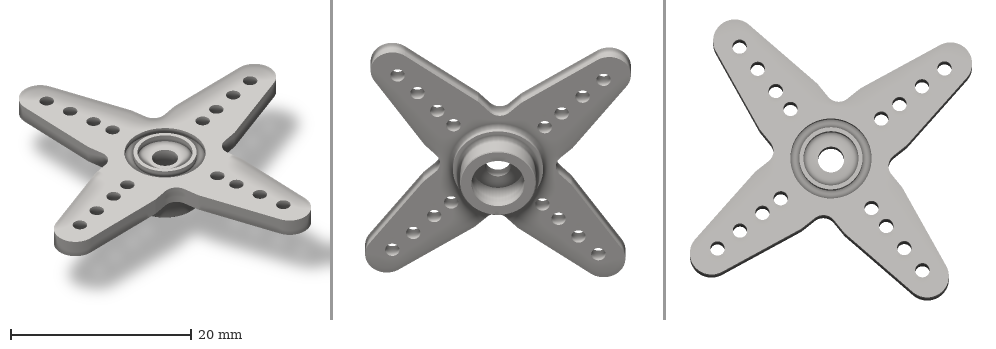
import cadquery as cq
import math

plate_thickness = 2.0
arm_count = 4
arm_half_width = 4.1
shoulder_distance = 7.5
inner_corner_radius = 1.5
tip_radius = 2.4
tip_centre_distance = 17.0

horn_hole_diameter = 1.6
horn_hole_distances = [7.15, 9.75, 12.95, 16.15]

flange_diameter = 10.0
flange_height = 1.0
flange_root_radius = 0.4
barrel_diameter = 8.4
barrel_root_radius = 0.3
hub_height = 3.9
barrel_end_chamfer = 0.1

groove_diameter = 9.0
ring_outer_diameter = 7.0
ring_inner_diameter = 6.1
ring_rise = 0.1
recess_depth = 0.7

screw_hole_diameter = 2.9
screw_web_thickness = 1.4
socket_diameter = 5.9

recess_floor_z = plate_thickness - recess_depth
ring_top_z = plate_thickness + ring_rise


def cylinder(diameter, bottom_z, top_z):
    """Cylinder on the Z axis between two heights."""
    return cq.Workplane("XY").workplane(offset=bottom_z).circle(diameter / 2).extrude(top_z - bottom_z)


def make_arm():
    """One arm along +X: straight root, tapered flanks tangent to a round tip."""
    run = tip_centre_distance - shoulder_distance
    centre_span = math.hypot(run, arm_half_width)
    taper = math.atan2(arm_half_width, run) - math.asin(tip_radius / centre_span)
    tangent_x = tip_centre_distance + tip_radius * math.sin(taper)
    tangent_y = tip_radius * math.cos(taper)
    return (
        cq.Workplane("XY")
        .moveTo(0, -arm_half_width)
        .lineTo(shoulder_distance, -arm_half_width)
        .lineTo(tangent_x, -tangent_y)
        .threePointArc((tip_centre_distance + tip_radius, 0), (tangent_x, tangent_y))
        .lineTo(shoulder_distance, arm_half_width)
        .lineTo(0, arm_half_width)
        .close()
        .extrude(plate_thickness)
    )


def make_plate():
    """Cross of equal arms with rounded inner corners."""
    arm = make_arm()
    plate = cq.Workplane("XY").rect(2 * arm_half_width, 2 * arm_half_width).extrude(plate_thickness)
    for index in range(arm_count):
        plate = plate.union(arm.rotate((0, 0, 0), (0, 0, 1), index * 360 / arm_count))
    reach = arm_half_width + inner_corner_radius
    near_axis = cq.selectors.BoxSelector((-reach, -reach, 0), (reach, reach, plate_thickness))
    return plate.clean().edges("|Z").edges(near_axis).fillet(inner_corner_radius)


def make_hub():
    """Stepped round hub with a concave fillet at the root of each step."""
    flange_radius = flange_diameter / 2
    barrel_radius = barrel_diameter / 2

    def root(profile, radius, step_z, fillet):
        """Quarter arc from the step face down onto the wall of the given radius."""
        middle = fillet * (1 - math.sqrt(0.5))
        return profile.threePointArc((radius + middle, step_z - middle), (radius, step_z - fillet))

    profile = cq.Workplane("XZ").lineTo(flange_radius + flange_root_radius, 0)
    profile = root(profile, flange_radius, 0, flange_root_radius)
    profile = profile.lineTo(flange_radius, -flange_height)
    profile = profile.lineTo(barrel_radius + barrel_root_radius, -flange_height)
    profile = root(profile, barrel_radius, -flange_height, barrel_root_radius)
    profile = (
        profile.lineTo(barrel_radius, -hub_height + barrel_end_chamfer)
        .lineTo(barrel_radius - barrel_end_chamfer, -hub_height)
        .lineTo(0, -hub_height)
        .close()
    )
    return profile.revolve(360, (0, 0, 0), (0, 1, 0))


def make_horn_holes():
    """All arm holes as one set of cutters."""
    points = []
    for index in range(arm_count):
        angle = index * 2 * math.pi / arm_count
        for distance in horn_hole_distances:
            points.append((distance * math.cos(angle), distance * math.sin(angle)))
    return cq.Workplane("XY").pushPoints(points).circle(horn_hole_diameter / 2).extrude(plate_thickness)


def make_ring():
    """Ring standing on the recess floor and rising just above the plate."""
    outside = cylinder(ring_outer_diameter, recess_floor_z, ring_top_z)
    return outside.cut(cylinder(ring_inner_diameter, recess_floor_z, ring_top_z))


result = make_plate().union(make_hub())
result = result.cut(make_horn_holes())
result = result.cut(cylinder(groove_diameter, recess_floor_z, plate_thickness))
result = result.union(make_ring())
result = result.cut(cylinder(screw_hole_diameter, -hub_height, recess_floor_z))
result = result.cut(cylinder(socket_diameter, -hub_height, recess_floor_z - screw_web_thickness))